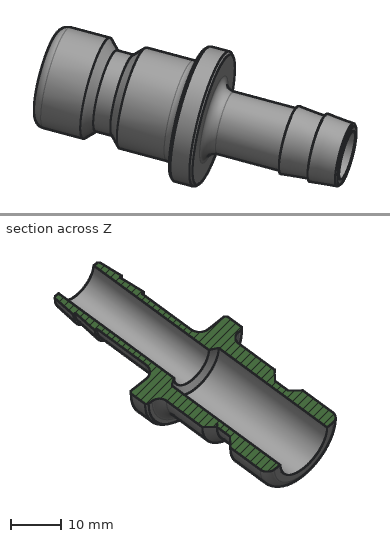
import cadquery as cq
import math

length = 63.0
bore_diameter = 10.0

plug_radius = 20.9 / 2
nose_round = 2.0
groove_radius = 16.8 / 2
groove_depth = plug_radius - groove_radius
groove_start = 10.35
groove_end = 18.0

flange_radius = 28.0 / 2
flange_start = 30.0
flange_end = 34.95
flange_chamfer = 0.5
front_fillet = 2.0
rear_fillet = 2.5

wide_bore_diameter = 13.5
wide_bore_depth = flange_start
step_cone_angle = 118.0

stem_radius = 13.0 / 2
barb_radius = 14.1 / 2
barb_tail_radius = stem_radius
barb_starts = (50.95, 57.0)
tip_chamfer = 0.4


def ring(start, end, radius):
    """Solid cylinder along X between two stations."""
    return cq.Workplane("YZ", origin=(start, 0, 0)).circle(radius).extrude(end - start)


def turned(points):
    """Revolve a closed outline of (x, radius) points about the X axis."""
    return cq.Workplane("XY").polyline(points).close().revolve(360, (0, 0, 0), (1, 0, 0))


def make_plug():
    plug = ring(0, flange_start, plug_radius).faces("<X").edges().fillet(nose_round)
    groove = turned([
        (groove_start, plug_radius),
        (groove_start + groove_depth, groove_radius),
        (groove_end - groove_depth, groove_radius),
        (groove_end, plug_radius),
    ])
    return plug.cut(groove)


def make_flange():
    return ring(flange_start, flange_end, flange_radius).edges().chamfer(flange_chamfer)


def make_root_fillet(face_x, radius, size, direction):
    """Concave ring joining a cylinder to a flange face; direction points away from the face."""
    edge_x = face_x + direction * size
    outline = (
        cq.Workplane("XY")
        .moveTo(face_x, 0)
        .lineTo(face_x, radius + size)
        .radiusArc((edge_x, radius), -direction * size)
        .lineTo(edge_x, 0)
        .close()
    )
    return outline.revolve(360, (0, 0, 0), (1, 0, 0))


def make_stem():
    stem = ring(flange_end, barb_starts[0], stem_radius)
    for start, end in zip(barb_starts, barb_starts[1:] + (length,)):
        stem = stem.union(turned([(start, 0), (start, barb_radius), (end, barb_tail_radius), (end, 0)]))
    return stem.faces(">X").edges().chamfer(tip_chamfer)


def make_bore():
    """Through bore, wider in the plug, with a conical step between the two diameters."""
    step_height = (wide_bore_diameter - bore_diameter) / 2
    step_end = wide_bore_depth + step_height / math.tan(math.radians(step_cone_angle / 2))
    return turned([
        (0, 0),
        (0, wide_bore_diameter / 2),
        (wide_bore_depth, wide_bore_diameter / 2),
        (step_end, bore_diameter / 2),
        (length, bore_diameter / 2),
        (length, 0),
    ])


result = (
    make_plug()
    .union(make_flange())
    .union(make_stem())
    .union(make_root_fillet(flange_start, plug_radius, front_fillet, -1))
    .union(make_root_fillet(flange_end, stem_radius, rear_fillet, 1))
    .cut(make_bore())
)